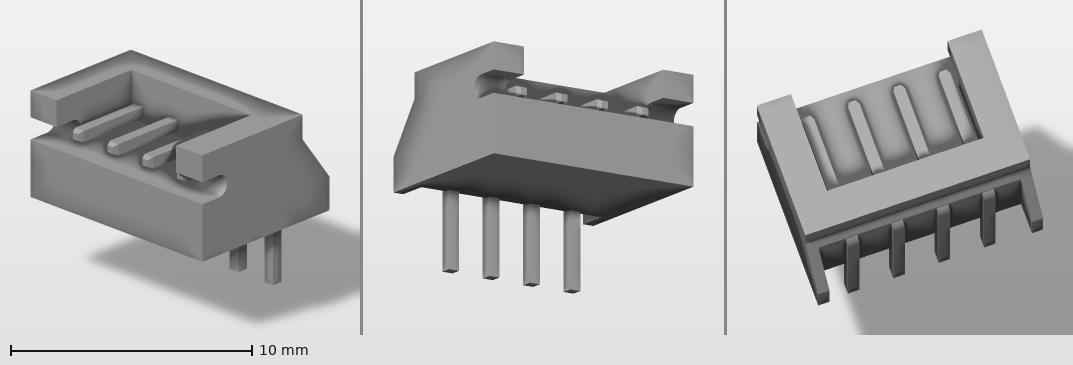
import cadquery as cq
import math


width = 9.9
depth = 7.6
height = 4.8
top_depth = 6.0
slope_top = 3.67
slope_bottom = 1.51
ear_thickness = 0.495
rear_wall_y = 6.25

pocket_width = 6.89
pocket_depth = 4.47
floor_z = 2.59
slot_height = 1.0
slot_depth = 1.49

pin_count = 4
pitch = 2.0
pin_size = 0.5
pin_z = floor_z + slot_height / 2
pin_rear_y = 6.49
pin_tip_y = 0.67
tip_length = 0.23
tip_size = 0.3
tail_length = 3.4


def make_housing():
    """Side profile extruded across the full width, then opened up."""
    body = (
        cq.Workplane("YZ")
        .polyline([
            (0, 0),
            (depth, 0),
            (depth, slope_bottom),
            (top_depth, slope_top),
            (top_depth, height),
            (0, height),
        ])
        .close()
        .extrude(width / 2, both=True)
    )
    rear_recess = cq.Workplane("XY").box(
        width - 2 * ear_thickness, depth - rear_wall_y, height, centered=(True, False, False)
    ).translate((0, rear_wall_y, 0))
    pocket = cq.Workplane("XY").box(
        pocket_width, pocket_depth, height - floor_z, centered=(True, False, False)
    ).translate((0, 0, floor_z))
    return body.cut(rear_recess).cut(pocket).cut(make_side_slot())


def make_side_slot():
    """Round-ended slot through both side walls, open at the mouth."""
    radius = slot_height / 2
    arc_start_y = slot_depth - radius
    slot_top = floor_z + slot_height
    return (
        cq.Workplane("YZ")
        .moveTo(0, floor_z)
        .lineTo(arc_start_y, floor_z)
        .threePointArc((slot_depth, floor_z + radius), (arc_start_y, slot_top))
        .lineTo(0, slot_top)
        .close()
        .extrude(width / 2, both=True)
    )


def make_pin(x):
    """Square L-shaped pin with a tapered tip, a rounded outer bend and a tail below the housing."""
    shank_start_y = pin_tip_y + tip_length
    pin_top = pin_z + pin_size / 2
    inner_bend_y = pin_rear_y - pin_size
    pin_bottom = pin_top - pin_size
    bend_offset = pin_size * math.sqrt(0.5)
    bent_bar = (
        cq.Workplane("YZ", origin=(x, 0, 0))
        .moveTo(shank_start_y, pin_bottom)
        .lineTo(shank_start_y, pin_top)
        .lineTo(inner_bend_y, pin_top)
        .threePointArc(
            (inner_bend_y + bend_offset, pin_bottom + bend_offset),
            (pin_rear_y, pin_bottom),
        )
        .lineTo(pin_rear_y, -tail_length)
        .lineTo(inner_bend_y, -tail_length)
        .lineTo(inner_bend_y, pin_bottom)
        .close()
        .extrude(pin_size / 2, both=True)
    )
    tip = (
        cq.Workplane("XZ", origin=(x, shank_start_y, pin_z))
        .rect(pin_size, pin_size)
        .workplane(offset=tip_length)
        .rect(tip_size, tip_size)
        .loft(ruled=True)
    )
    return bent_bar.union(tip)


result = make_housing()
for index in range(pin_count):
    pin_x = (index - (pin_count - 1) / 2) * pitch
    result = result.union(make_pin(pin_x))